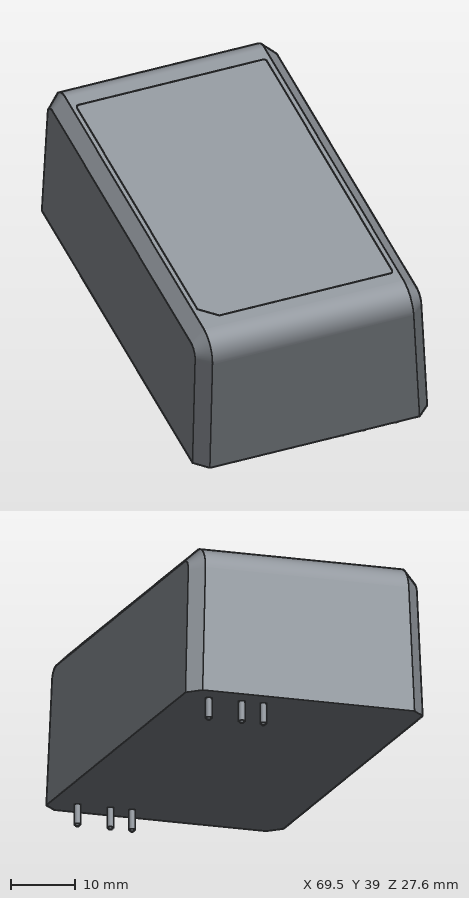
import cadquery as cq

LENGTH = 69.5
WIDTH = 39.0
CASE_HEIGHT = 24.05
DRAFT_ANGLE = 2.0
END_RADIUS = 4.0
EDGE_CHAMFER = 2.1

LABEL_LENGTH = 55.3
LABEL_WIDTH = 31.55
LABEL_DEPTH = 0.1
LABEL_CORNER_RADIUS = 0.55
LABEL_MARK = 2.65

PIN_DIAMETER = 1.05
PIN_LENGTH = 3.5
PIN_TIP_CHAMFER = 0.35
PIN_EMBED = 0.7
PIN_X = 30.8
PIN_ROW_Y = (15.0, 9.6, 6.05)


def make_case():
    """Drafted box with round end edges and a chamfer framing both long sides."""
    case = cq.Workplane("XY").rect(LENGTH, WIDTH).extrude(CASE_HEIGHT, taper=DRAFT_ANGLE)
    case = case.faces(">Z").edges("|Y").fillet(END_RADIUS)
    long_sides = case.faces("<Y or >Y")
    return long_sides.edges("not <Z").chamfer(EDGE_CHAMFER)


def make_label_recess():
    """Rounded rectangle with one cut corner marking the +X, -Y end."""
    half_length = LABEL_LENGTH / 2
    half_width = LABEL_WIDTH / 2
    label = (
        cq.Workplane("XY", origin=(0, 0, CASE_HEIGHT - LABEL_DEPTH))
        .moveTo(-half_length, -half_width)
        .lineTo(half_length - LABEL_MARK, -half_width)
        .lineTo(half_length, LABEL_MARK - half_width)
        .lineTo(half_length, half_width)
        .lineTo(-half_length, half_width)
        .close()
        .extrude(LABEL_DEPTH)
    )
    rounded_corners = label.edges("|Z and (<X or >Y)")
    return rounded_corners.fillet(LABEL_CORNER_RADIUS)


def make_pins():
    """Round pins with chamfered tips, rooted inside the case."""
    places = [(side * PIN_X, y) for side in (-1, 1) for y in PIN_ROW_Y]
    pins = (
        cq.Workplane("XY", origin=(0, 0, -PIN_LENGTH))
        .pushPoints(places)
        .circle(PIN_DIAMETER / 2)
        .extrude(PIN_LENGTH + PIN_EMBED)
    )
    return pins.faces("<Z").edges().chamfer(PIN_TIP_CHAMFER)


result = make_case().cut(make_label_recess()).union(make_pins())